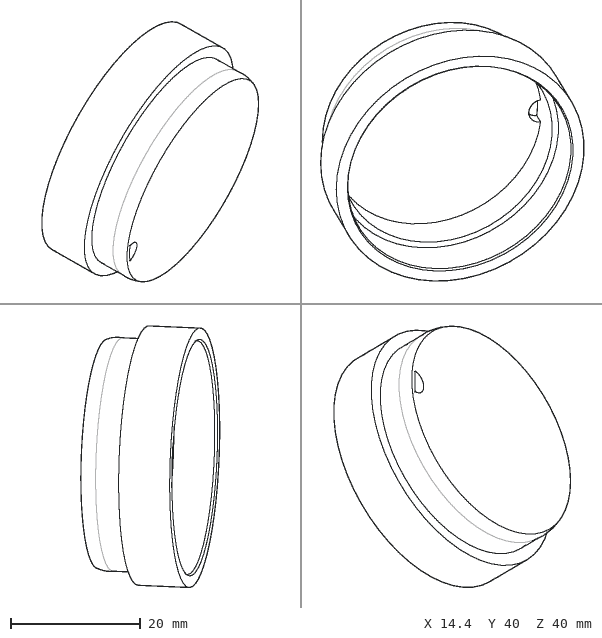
import cadquery as cq

length = 14.4
flange_length = 8.0
flange_radius = 20.0
spigot_radius = 18.0

nose_start = 12.0
nose_crest_x = 13.0
nose_crest_radius = 18.05
nose_end_radius = 17.7

mouth_radius = 18.2
mouth_lead_in = 0.4
seat_radius = 18.0
seat_depth = 6.8
pocket_radius = 17.0
pocket_depth = 12.4

notch_radius = 2.0


def turn(profile):
    """Revolve an (axial, radial) profile around the X axis."""
    return profile.close().revolve(360, (0, 0, 0), (1, 0, 0))


body = turn(
    cq.Workplane("XY")
    .lineTo(0, flange_radius)
    .lineTo(flange_length, flange_radius)
    .lineTo(flange_length, spigot_radius)
    .lineTo(nose_start, spigot_radius)
    .threePointArc((nose_crest_x, nose_crest_radius), (length, nose_end_radius))
    .lineTo(length, 0)
)

cavity = turn(
    cq.Workplane("XY")
    .lineTo(0, mouth_radius)
    .lineTo(mouth_lead_in, seat_radius)
    .lineTo(seat_depth, seat_radius)
    .lineTo(seat_depth, pocket_radius)
    .lineTo(pocket_depth, pocket_radius)
    .lineTo(pocket_depth, 0)
)

pocket_column = cq.Workplane("YZ").circle(pocket_radius).extrude(length)
notch = (
    cq.Workplane("YZ")
    .center(-pocket_radius, 0)
    .circle(notch_radius)
    .extrude(length)
    .intersect(pocket_column)
)

result = body.cut(cavity).cut(notch)